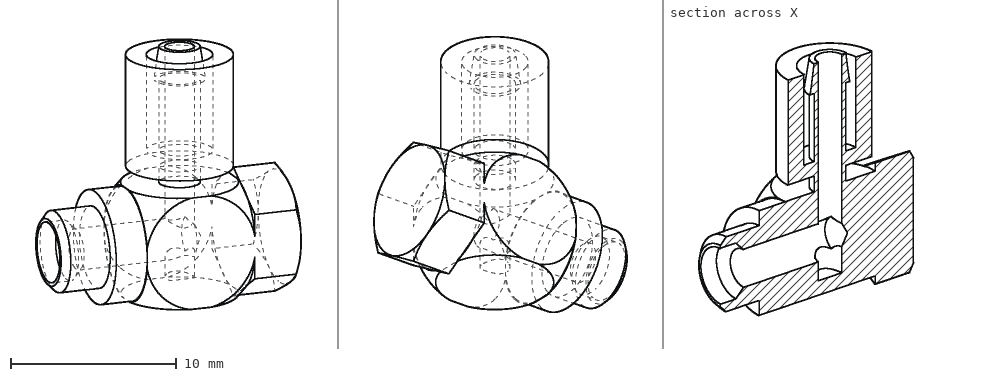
import cadquery as cq
import math

body_width = 7.0
half_width = body_width / 2
body_sphere_radius = 4.99

head_length = 3.0
head_chamfer_angle = 30.0

collar_length = 2.0
spigot_length = 3.0
spigot_radius = 2.5
spigot_chamfer = 0.45

mouth_radius = 1.85
bore_radius = 1.25
mouth_depth = 1.2
mouth_cone_length = 0.6
bore_end_y = 0.63
drill_half_angle = 60.0
port_chamber_radius = 2.5

stem_radius = 1.25
stem_bore_radius = 0.9
sleeve_radius = 3.25
sleeve_bore_radius = 2.0
sleeve_bottom_z = 4.5
sleeve_top_z = 11.5
sleeve_floor_z = 5.5
barb_top_z = 12.0
barb_base_radius = 1.55
barb_height = 2.0

collar_end_y = -half_width - collar_length
spigot_end_y = collar_end_y - spigot_length
barb_base_z = barb_top_z - barb_height


def revolve_about_y(profile):
    """Turn a closed (radius, y) profile around the bolt axis."""
    return cq.Workplane("XY").polyline(profile).close().revolve(360, (0, 0), (0, 1))


def cylinder_along_z(radius, bottom, top):
    return cq.Workplane("XY").workplane(offset=bottom).circle(radius).extrude(top - bottom)


def make_body():
    """Cube with its corners rounded off by a sphere."""
    cube = cq.Workplane("XY").box(body_width, body_width, body_width)
    return cube.intersect(cq.Workplane("XY").sphere(body_sphere_radius))


def make_head():
    """Hexagon with flats facing X and its outer corners chamfered."""
    corner_radius = half_width / math.cos(math.pi / 6)
    head_end_y = half_width + head_length
    corners = []
    for index in range(6):
        angle = math.pi / 2 + index * math.pi / 3
        corners.append((corner_radius * math.cos(angle), corner_radius * math.sin(angle)))
    hexagon = (
        cq.Workplane("XZ", origin=(0, head_end_y, 0)).polyline(corners).close().extrude(head_length)
    )
    chamfer_drop = (corner_radius - half_width) * math.tan(math.radians(head_chamfer_angle))
    envelope = revolve_about_y([
        (0, half_width),
        (corner_radius, half_width),
        (corner_radius, head_end_y - chamfer_drop),
        (half_width, head_end_y),
        (0, head_end_y),
    ])
    return hexagon.intersect(envelope)


def make_collar_and_spigot():
    return revolve_about_y([
        (0, -half_width),
        (half_width, -half_width),
        (half_width, collar_end_y),
        (spigot_radius, collar_end_y),
        (spigot_radius, spigot_end_y + spigot_chamfer),
        (spigot_radius - spigot_chamfer, spigot_end_y),
        (0, spigot_end_y),
    ])


def make_hose_connection():
    """Stem carrying a sleeve whose open top surrounds a tapered barb."""
    stem = cylinder_along_z(stem_radius, half_width, barb_base_z)
    sleeve = cylinder_along_z(sleeve_radius, sleeve_bottom_z, sleeve_top_z)
    pocket = cylinder_along_z(sleeve_bore_radius, sleeve_floor_z, sleeve_top_z)
    barb = (
        cq.Workplane("XY").workplane(offset=barb_base_z).circle(barb_base_radius)
        .workplane(offset=barb_height).circle(stem_radius).loft(ruled=True)
    )
    return stem.union(sleeve.cut(pocket)).union(barb)


def make_bolt_bore():
    """Blind bore with a wider mouth, a conical step and a drill point."""
    tip_y = bore_end_y + bore_radius / math.tan(math.radians(drill_half_angle))
    return revolve_about_y([
        (0, spigot_end_y),
        (mouth_radius, spigot_end_y),
        (mouth_radius, spigot_end_y + mouth_depth),
        (bore_radius, spigot_end_y + mouth_depth + mouth_cone_length),
        (bore_radius, bore_end_y),
        (0, tip_y),
    ])


def make_stem_bore():
    """Bore from the barb down across the bolt bore, with a rounded lower end."""
    upper = cylinder_along_z(stem_bore_radius, 0, barb_top_z)
    lower = cylinder_along_z(stem_bore_radius, -half_width, 0)
    chamber = cq.Workplane("XZ").circle(port_chamber_radius).extrude(half_width, both=True)
    return upper.union(lower.intersect(chamber))


bolt = make_head().union(make_collar_and_spigot())
result = make_body().union(bolt).union(make_hose_connection())
result = result.cut(make_bolt_bore()).cut(make_stem_bore())